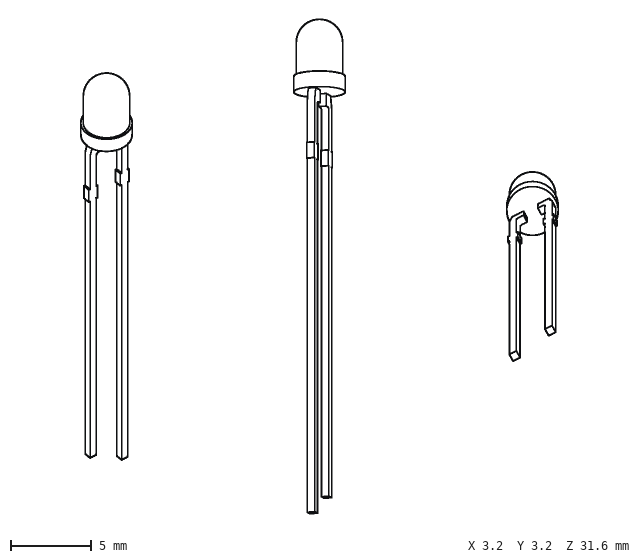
import cadquery as cq
import math

flange_radius = 1.6
flange_height = 1.0
lens_radius = 1.45
lens_height = 4.6
dome_base_z = lens_height - lens_radius

lead_pitch = 2.5
lead_width = 0.5
lead_thickness = 0.5
long_lead_length = 27.0
short_lead_length = 25.5

shoulder_inner_y = 0.5
shoulder_outer_y = 1.3
shoulder_height = 0.8
shoulder_corner_radius = 0.2

stop_width = 0.7
stop_top_z = -3.5
stop_height = 1.0


def make_lens():
    """Revolve the half profile of the flange, cylinder and dome about Z."""
    dome_mid_offset = lens_radius * math.cos(math.radians(45))
    profile = (
        cq.Workplane("XZ")
        .lineTo(-flange_radius, 0)
        .lineTo(-flange_radius, flange_height)
        .lineTo(-lens_radius, flange_height)
        .lineTo(-lens_radius, dome_base_z)
        .threePointArc((-dome_mid_offset, dome_base_z + dome_mid_offset), (0, lens_height))
        .close()
    )
    return profile.revolve(360, (0, 0), (0, 1))


def make_lead(length):
    """Make the lead on the +Y side, reaching down from the flange to Z = -length."""
    lead_y = lead_pitch / 2
    inner_y = lead_y - lead_width / 2
    outer_y = lead_y + lead_width / 2
    strip = (
        cq.Workplane("YZ")
        .moveTo(shoulder_inner_y, 0)
        .lineTo(shoulder_outer_y, 0)
        .lineTo(outer_y, -shoulder_height)
        .lineTo(outer_y, -length)
        .lineTo(inner_y, -length)
        .lineTo(inner_y, -shoulder_height - shoulder_corner_radius)
        .radiusArc((inner_y - shoulder_corner_radius, -shoulder_height), -shoulder_corner_radius)
        .lineTo(shoulder_inner_y, -shoulder_height)
        .close()
        .extrude(lead_thickness / 2, both=True)
    )
    stop = (
        cq.Workplane("XY")
        .box(lead_thickness, stop_width, stop_height)
        .translate((0, lead_y, stop_top_z - stop_height / 2))
    )
    return strip.union(stop)


long_lead = make_lead(long_lead_length)
short_lead = make_lead(short_lead_length).mirror("XZ")
result = make_lens().union(long_lead).union(short_lead)